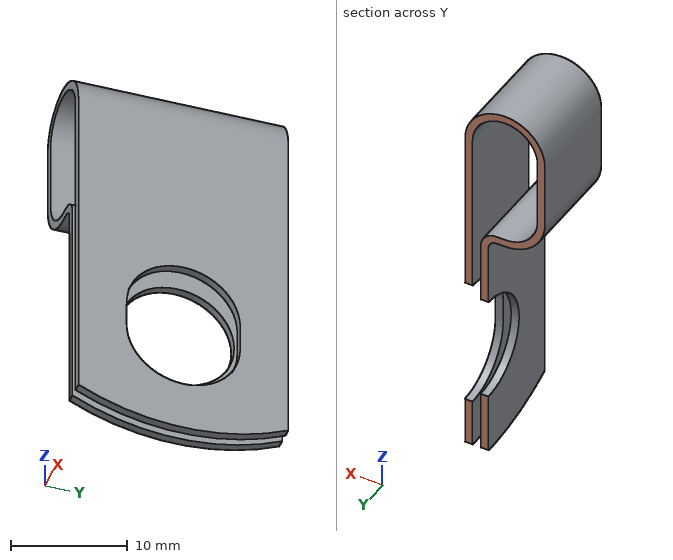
import cadquery as cq
import math

thickness = 0.79
width = 19.05
height = 37.31

loop_width = 7.98
loop_outer = loop_width / 2
loop_inner = loop_outer - thickness
loop_straight = 6.32

bend_inner = 0.79
bend_outer = bend_inner + thickness
leg_gap = 0.79

hole_diameter = 10.31
hole_height = 11.11
slot_straight = 2.38
end_rise = 2.18

bottom_z = loop_outer - height
hole_axis_z = bottom_z + hole_height
lower_axis_z = -loop_straight
floor_top_z = lower_axis_z - loop_inner
floor_bottom_z = lower_axis_z - loop_outer
bend_axis_z = floor_bottom_z - bend_inner
long_leg_inside_x = loop_inner
short_leg_right_x = long_leg_inside_x - leg_gap
short_leg_left_x = short_leg_right_x - thickness
bend_axis_x = short_leg_left_x - bend_inner


def arc_point(axis_x, axis_z, radius, degrees):
    """Point on a circle of the XZ profile."""
    angle = math.radians(degrees)
    return (axis_x + radius * math.cos(angle), axis_z + radius * math.sin(angle))


def bent_strip():
    """Strip running up the long leg, round the loop and down the short leg."""
    profile = (
        cq.Workplane("XZ")
        .moveTo(loop_outer, bottom_z)
        .lineTo(loop_outer, 0)
        .threePointArc((0, loop_outer), (-loop_outer, 0))
        .lineTo(-loop_outer, lower_axis_z)
        .threePointArc(arc_point(0, lower_axis_z, loop_outer, 225), (0, floor_bottom_z))
        .lineTo(bend_axis_x, floor_bottom_z)
        .threePointArc(
            arc_point(bend_axis_x, bend_axis_z, bend_inner, 45),
            (short_leg_left_x, bend_axis_z),
        )
        .lineTo(short_leg_left_x, bottom_z)
        .lineTo(short_leg_right_x, bottom_z)
        .lineTo(short_leg_right_x, bend_axis_z)
        .threePointArc(
            arc_point(bend_axis_x, bend_axis_z, bend_outer, 45),
            (bend_axis_x, floor_top_z),
        )
        .lineTo(0, floor_top_z)
        .threePointArc(arc_point(0, lower_axis_z, loop_inner, 225), (-loop_inner, lower_axis_z))
        .lineTo(-loop_inner, 0)
        .threePointArc((0, loop_inner), (long_leg_inside_x, 0))
        .lineTo(long_leg_inside_x, bottom_z)
        .close()
    )
    return profile.extrude(width / 2, both=True)


def rounded_outline():
    """Block with the side outline of the part: square top and rounded bottom."""
    edge_z = bottom_z + end_rise
    return (
        cq.Workplane("YZ")
        .moveTo(-width / 2, loop_outer)
        .lineTo(-width / 2, edge_z)
        .threePointArc((0, bottom_z), (width / 2, edge_z))
        .lineTo(width / 2, loop_outer)
        .close()
        .extrude(loop_outer, both=True)
    )


def short_leg_hole():
    """Round screw hole along X through the short leg."""
    return (
        cq.Workplane("YZ", origin=(short_leg_left_x, 0, hole_axis_z))
        .circle(hole_diameter / 2)
        .extrude(thickness)
    )


def long_leg_slot():
    """Upright round-ended slot through the long leg, as wide as the round hole and centred on it."""
    return (
        cq.Workplane("YZ", origin=(long_leg_inside_x, 0, hole_axis_z))
        .slot2D(slot_straight + hole_diameter, hole_diameter, 90)
        .extrude(thickness)
    )


result = (
    bent_strip()
    .intersect(rounded_outline())
    .cut(short_leg_hole())
    .cut(long_leg_slot())
)